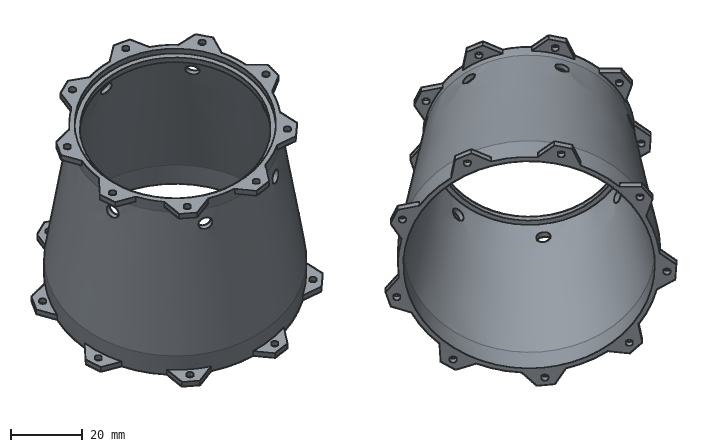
import cadquery as cq
import math

overall_width = 81.5
height = 64.0
base_height = 8.0
neck_height = 4.0
base_radius = 73.0 / 2
neck_radius = 59.0 / 2

socket_radius = 56.0 / 2
socket_depth = 2.0
lip_radius = 53.0 / 2
base_bore_radius = 70.0 / 2

tab_count = 9
tab_thickness = 2.0
tab_root_half_width = 6.2
tab_tip_half_width = 2.5
tab_hole_edge_distance = 2.5
tab_hole_diameter = 2.0
first_tab_angle = -90

vent_count = 7
vent_diameter = 4.0
vent_height = 54.75

neck_bottom = height - neck_height


def tab_root_radius(shell_radius):
    """Distance from the axis to a tab's root chord, whose ends lie on the shell's outer circle."""
    return math.sqrt(shell_radius**2 - tab_root_half_width**2)


widest_tab_angle = math.radians(90 / tab_count)
base_tip_radius = (
    overall_width / 2 - tab_tip_half_width * math.sin(widest_tab_angle)
) / math.cos(widest_tab_angle)
tab_overhang = base_tip_radius - tab_root_radius(base_radius)


def make_shell():
    """Revolve the wall section about Z."""
    section = [
        (base_bore_radius, 0),
        (base_radius, 0),
        (base_radius, base_height),
        (neck_radius, neck_bottom),
        (neck_radius, height),
        (socket_radius, height),
        (socket_radius, height - socket_depth),
        (lip_radius, height - socket_depth),
        (lip_radius, neck_bottom),
        (socket_radius, neck_bottom),
        (base_bore_radius, base_height),
    ]
    return cq.Workplane("XZ").polyline(section).close().revolve(360, (0, 0, 0), (0, 1, 0))


def make_tabs(shell_radius, bottom):
    """Ring of drilled trapezoid tabs around the shell."""
    root = tab_root_radius(shell_radius)
    tip = root + tab_overhang
    outline = [
        (root, -tab_root_half_width),
        (tip, -tab_tip_half_width),
        (tip, tab_tip_half_width),
        (root, tab_root_half_width),
    ]
    tab = (
        cq.Workplane("XY", origin=(0, 0, bottom))
        .polyline(outline)
        .close()
        .extrude(tab_thickness)
    )
    hole = (
        cq.Workplane("XY", origin=(0, 0, bottom))
        .center(tip - tab_hole_edge_distance, 0)
        .circle(tab_hole_diameter / 2)
        .extrude(tab_thickness)
    )
    tab = tab.cut(hole)
    ring = cq.Workplane("XY")
    for i in range(tab_count):
        angle = first_tab_angle + i * 360 / tab_count
        ring = ring.add(tab.rotate((0, 0, 0), (0, 0, 1), angle))
    return ring.combine()


def make_vents():
    """Radial cutters, the first one along +X."""
    cutter = (
        cq.Workplane("YZ")
        .center(0, vent_height)
        .circle(vent_diameter / 2)
        .extrude(base_radius)
    )
    vents = cq.Workplane("XY")
    for i in range(vent_count):
        vents = vents.add(cutter.rotate((0, 0, 0), (0, 0, 1), i * 360 / vent_count))
    return vents.combine()


result = (
    make_shell()
    .union(make_tabs(base_radius, 0))
    .union(make_tabs(neck_radius, height - tab_thickness))
    .cut(make_vents())
)